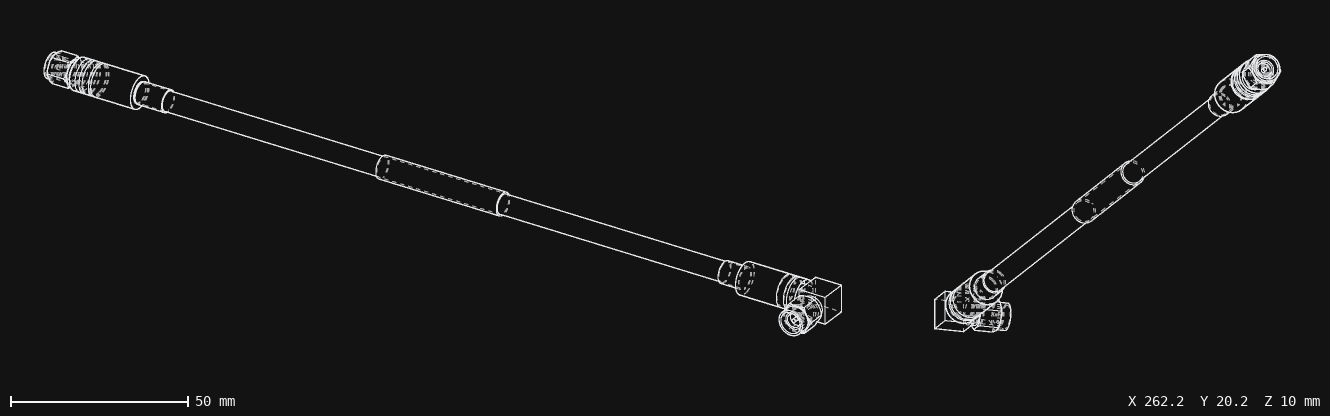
import cadquery as cq
import math

total_length = 262.2
total_depth = 20.2

nut_flats = 8.5
nut_lip_diameter = 7.9
nut_bore_diameter = 6.5
nut_web = 1.3
nut_chamfer = 0.5
straight_lip_length = 1.3
straight_nut_length = 7.5
angled_lip_length = 3.0
angled_nut_length = 9.2
nut_corners = nut_flats / math.cos(math.pi / 6)

plug_diameter = 5.2
plug_setback = 1.5
plug_recess_diameter = 4.2
plug_recess_depth = 1.5
pin_diameter = 1.0

sleeve_diameter = 10.0
sleeve_wall = 0.1
straight_sleeve_start = 9.2
straight_sleeve_end = 29.5
angled_sleeve_start = 232.3
angled_sleeve_end = 252.0

barrel_diameter = sleeve_diameter - 2 * sleeve_wall
groove_floor_diameter = 9.0
straight_shoulder = 11.0
angled_shoulder = 249.4
straight_grooves = [(12.3, 13.5), (15.5, 16.3)]
angled_grooves = [(246.0, 248.3)]
flange_diameter = 7.5
flange_length = 0.8
straight_neck_diameter = 6.8
rear_neck_diameter = 6.5
rear_neck_length = 0.5
ferrule_diameter = 6.8
ferrule_end = 39.0

elbow_width = 8.7
elbow_front = -4.0
elbow_back = 4.7
elbow_neck_diameter = 6.8
elbow_x = total_length - nut_corners / 2
angled_tip_y = sleeve_diameter / 2 - total_depth

cable_diameter = 6.0
tube_diameter = 6.8
tube_start = 225.5
label_diameter = 7.0
label_start = 111.0
label_length = 40.5


def rod(diameter, start, end):
    """Cylinder on the X axis between two X positions."""
    return cq.Workplane("YZ", origin=(start, 0, 0)).circle(diameter / 2).extrude(end - start)


def tube(outer_diameter, inner_diameter, start, end):
    """Hollow cylinder on the X axis between two X positions."""
    return rod(outer_diameter, start, end).cut(rod(inner_diameter, start, end))


def make_nut(lip_length, length):
    """Coupling nut with its open mating end at X = 0."""
    hexagon = (
        cq.Workplane("YZ", origin=(lip_length, 0, 0))
        .polygon(6, nut_corners)
        .extrude(length - lip_length)
    )
    corner_limit = rod(nut_corners, lip_length, length).faces("|X").chamfer(nut_chamfer)
    lip = rod(nut_lip_diameter, 0, lip_length)
    bore = rod(nut_bore_diameter, 0, length - nut_web)
    plug_hole = rod(plug_diameter, 0, length)
    return hexagon.intersect(corner_limit).union(lip).cut(bore).cut(plug_hole)


def make_plug(end):
    """Nose and contact pin that face X = 0, solid back to the given X position."""
    recess_floor = plug_setback + plug_recess_depth
    nose = rod(plug_diameter, plug_setback, end)
    recess = tube(plug_recess_diameter, pin_diameter, plug_setback, recess_floor)
    return nose.cut(recess)


def make_barrel(start, end, grooves):
    """Cylinder that fills a sleeve, with ring grooves between pairs of X positions."""
    barrel = rod(barrel_diameter, start, end)
    for groove_start, groove_end in grooves:
        barrel = barrel.cut(tube(barrel_diameter, groove_floor_diameter, groove_start, groove_end))
    return barrel


def turn_to_elbow(body):
    """Move a body from the X axis to the elbow outlet, with its mating end facing -Y."""
    return body.rotate((0, 0, 0), (0, 0, 1), 90).translate((elbow_x, angled_tip_y, 0))


def make_straight_connector():
    """Plug, flange, barrel and rear ferrule in one line."""
    barrel = make_barrel(straight_shoulder, straight_sleeve_end, straight_grooves)
    flange = rod(flange_diameter, straight_nut_length, straight_nut_length + flange_length)
    neck = rod(straight_neck_diameter, straight_nut_length, straight_shoulder)
    front = make_plug(straight_shoulder).union(neck).union(flange)
    ferrule_start = straight_sleeve_end + rear_neck_length
    rear_neck = tube(rear_neck_diameter, cable_diameter, straight_sleeve_end, ferrule_start)
    ferrule = tube(ferrule_diameter, cable_diameter, ferrule_start, ferrule_end)
    return front.union(barrel).union(rear_neck).union(ferrule)


def make_angled_connector():
    """Barrel that leads into an elbow block with a plug on its -Y side."""
    barrel = make_barrel(angled_sleeve_start, angled_shoulder, angled_grooves)
    inlet = rod(elbow_neck_diameter, angled_shoulder, elbow_x)
    elbow_depth = elbow_back - elbow_front
    block = (
        cq.Workplane()
        .box(elbow_width, elbow_depth, elbow_width)
        .translate((elbow_x, (elbow_front + elbow_back) / 2, 0))
    )
    outlet_length = elbow_front - angled_tip_y
    outlet = rod(elbow_neck_diameter, angled_nut_length, outlet_length).union(make_plug(outlet_length))
    return barrel.union(inlet).union(block).union(turn_to_elbow(outlet))


straight_nut = make_nut(straight_lip_length, straight_nut_length)
straight_connector = make_straight_connector()
straight_sleeve = tube(sleeve_diameter, barrel_diameter, straight_sleeve_start, straight_sleeve_end)

angled_nut = turn_to_elbow(make_nut(angled_lip_length, angled_nut_length))
angled_connector = make_angled_connector()
angled_sleeve = tube(sleeve_diameter, barrel_diameter, angled_sleeve_start, angled_sleeve_end)

cable = rod(cable_diameter, straight_sleeve_end, angled_sleeve_start)
label = tube(label_diameter, cable_diameter, label_start, label_start + label_length)
end_tube = tube(tube_diameter, cable_diameter, tube_start, angled_sleeve_start)

bodies = [
    straight_nut,
    straight_connector,
    straight_sleeve,
    angled_nut,
    angled_connector,
    angled_sleeve,
    cable,
    label,
    end_tube,
]
result = cq.Compound.makeCompound([body.val() for body in bodies])